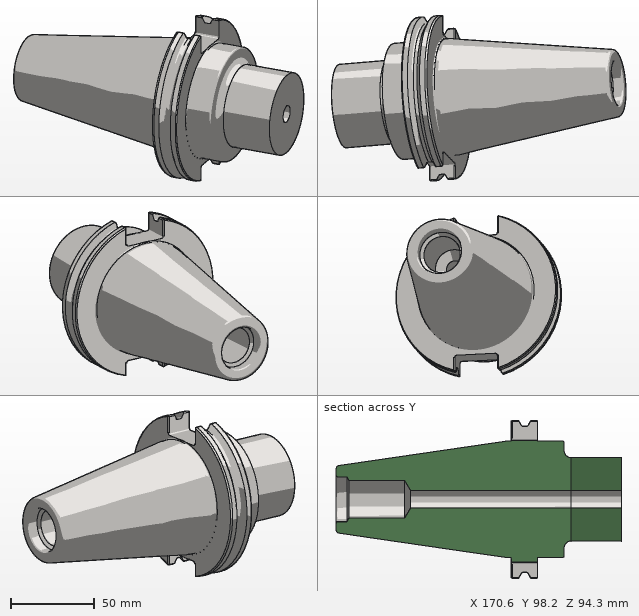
import cadquery as cq
import math

TOTAL_LENGTH = 170.6

TAPER_RATIO = 7 / 24
GAUGE_DIAMETER = 69.8
GAUGE_RADIUS = GAUGE_DIAMETER / 2
TAPER_LENGTH = 101.5
TAPER_END_ROUND = 1.7
TAPER_SMALL_RADIUS = GAUGE_RADIUS - TAPER_LENGTH * TAPER_RATIO / 2

FLANGE_START = 104.5
FLANGE_WIDTH = 15.9
FLANGE_RADIUS = 49.1
FRONT_CHAMFER_LENGTH = 1.2
REAR_CHAMFER_LENGTH = 0.7
FLANGE_CHAMFER_HEIGHT = 0.5
FLANGE_ROOT_ROUND = 0.7
GROOVE_START = 109.0
GROOVE_MOUTH = 7.5
GROOVE_DEPTH = 3.5
GROOVE_FLANK_ANGLE = 30.0
GROOVE_ROUND = 1.0
FLANGE_END = FLANGE_START + FLANGE_WIDTH

SLOT_WIDTH = 26.0
UPPER_SLOT_FLOOR = 35.3
LOWER_SLOT_FLOOR = 37.7
SLOT_CORNER_ROUND = 1.2
SLOT_EDGE_CHAMFER = 0.9

COLLAR_END = 136.5
COLLAR_ROUND = 1.0
NOSE_RADIUS = 25.0
NOSE_ROOT_ROUND = 4.0
NOSE_START = COLLAR_END + NOSE_ROOT_ROUND

MOUTH_RADIUS = 13.3
MOUTH_ROUND = 1.2
MOUTH_DEPTH = 6.5
THREAD_RADIUS = 11.1
THREAD_DEPTH = 41.0
THROUGH_RADIUS = 5.1
STEP_ANGLE = 30.0
DRILL_POINT_ANGLE = 31.0

OVERSHOOT = 1.7


def revolved(profile):
    """Closed profile in the XZ plane turned about the X axis."""
    return profile.close().revolve(360, (0, 0, 0), (1, 0, 0))


def holder_blank():
    """Outer shape of the holder, without bore, groove and slots."""
    radius_behind_round = TAPER_SMALL_RADIUS + TAPER_END_ROUND * TAPER_RATIO / 2
    diagonal = TAPER_END_ROUND * (1 - math.sqrt(0.5))
    profile = (
        cq.Workplane("XZ")
        .moveTo(0, 0)
        .lineTo(0, TAPER_SMALL_RADIUS - TAPER_END_ROUND)
        .threePointArc(
            (diagonal, TAPER_SMALL_RADIUS - diagonal),
            (TAPER_END_ROUND, radius_behind_round),
        )
        .lineTo(TAPER_LENGTH, GAUGE_RADIUS)
        .lineTo(FLANGE_START - FLANGE_ROOT_ROUND, GAUGE_RADIUS)
        .radiusArc((FLANGE_START, GAUGE_RADIUS + FLANGE_ROOT_ROUND), -FLANGE_ROOT_ROUND)
        .lineTo(FLANGE_START, FLANGE_RADIUS - FLANGE_CHAMFER_HEIGHT)
        .lineTo(FLANGE_START + FRONT_CHAMFER_LENGTH, FLANGE_RADIUS)
        .lineTo(FLANGE_END - REAR_CHAMFER_LENGTH, FLANGE_RADIUS)
        .lineTo(FLANGE_END, FLANGE_RADIUS - FLANGE_CHAMFER_HEIGHT)
        .lineTo(FLANGE_END, GAUGE_RADIUS + FLANGE_ROOT_ROUND)
        .radiusArc((FLANGE_END + FLANGE_ROOT_ROUND, GAUGE_RADIUS), -FLANGE_ROOT_ROUND)
        .lineTo(COLLAR_END - COLLAR_ROUND, GAUGE_RADIUS)
        .radiusArc((COLLAR_END, GAUGE_RADIUS - COLLAR_ROUND), COLLAR_ROUND)
        .lineTo(COLLAR_END, NOSE_RADIUS + NOSE_ROOT_ROUND)
        .radiusArc((NOSE_START, NOSE_RADIUS), -NOSE_ROOT_ROUND)
        .lineTo(NOSE_START, 0)
    )
    return revolved(profile)


def gripper_groove():
    """Ring tool for the V-groove in the flange rim, with rounded floor corners."""
    flank = math.tan(math.radians(GROOVE_FLANK_ANGLE))
    top = FLANGE_RADIUS + OVERSHOOT
    floor = FLANGE_RADIUS - GROOVE_DEPTH
    end = GROOVE_START + GROOVE_MOUTH
    ring = revolved(
        cq.Workplane("XZ")
        .moveTo(GROOVE_START - OVERSHOOT * flank, top)
        .lineTo(GROOVE_START + GROOVE_DEPTH * flank, floor)
        .lineTo(end - GROOVE_DEPTH * flank, floor)
        .lineTo(end + OVERSHOOT * flank, top)
    )
    inner_edges = ring.edges(cq.selectors.RadiusNthSelector(0))
    return inner_edges.fillet(GROOVE_ROUND)


def slot_rim_chamfers():
    """Flared prism that bevels the slot walls where they meet the rim of the flange."""
    half_width = SLOT_WIDTH / 2
    rim_height = math.sqrt(FLANGE_RADIUS**2 - half_width**2)
    start = rim_height - SLOT_EDGE_CHAMFER
    end = FLANGE_RADIUS + OVERSHOOT
    flared = half_width + end - start
    return (
        cq.Workplane("YZ", origin=(FLANGE_START, 0, 0))
        .polyline([(-half_width, start), (half_width, start), (flared, end), (-flared, end)])
        .close()
        .extrude(FLANGE_WIDTH)
    )


def slot_face_chamfer(floor):
    """Flared prism that bevels the slot walls where they meet the taper-side face of the flange."""
    half_width = SLOT_WIDTH / 2
    flared = half_width + SLOT_EDGE_CHAMFER
    bottom = floor + SLOT_CORNER_ROUND
    inner = FLANGE_START + SLOT_EDGE_CHAMFER
    return (
        cq.Workplane("XY", origin=(0, 0, bottom))
        .polyline(
            [(FLANGE_START, -flared), (FLANGE_START, flared), (inner, half_width), (inner, -half_width)]
        )
        .close()
        .extrude(FLANGE_RADIUS + OVERSHOOT - bottom)
    )


def drive_slot(floor, turn):
    """Tool for one drive slot, turned about the axis to its side of the flange."""
    height = FLANGE_RADIUS + OVERSHOOT - floor
    tool = (
        cq.Workplane("XY")
        .box(FLANGE_WIDTH, SLOT_WIDTH, height, centered=(False, True, False))
        .edges("|X and <Z")
        .fillet(SLOT_CORNER_ROUND)
        .translate((FLANGE_START, 0, floor))
        .union(slot_rim_chamfers())
        .union(slot_face_chamfer(floor))
    )
    return tool.rotate((0, 0, 0), (1, 0, 0), turn)


def holder_bore():
    """Tool for the stepped bore: rounded mouth, thread core, drill point and through hole."""
    step = math.tan(math.radians(STEP_ANGLE))
    point = math.tan(math.radians(DRILL_POINT_ANGLE))
    step_end = MOUTH_DEPTH + (MOUTH_RADIUS - THREAD_RADIUS) * step
    point_end = THREAD_DEPTH + (THREAD_RADIUS - THROUGH_RADIUS) * point
    return revolved(
        cq.Workplane("XZ")
        .moveTo(0, 0)
        .lineTo(0, MOUTH_RADIUS + MOUTH_ROUND)
        .radiusArc((MOUTH_ROUND, MOUTH_RADIUS), -MOUTH_ROUND)
        .lineTo(MOUTH_DEPTH, MOUTH_RADIUS)
        .lineTo(step_end, THREAD_RADIUS)
        .lineTo(THREAD_DEPTH, THREAD_RADIUS)
        .lineTo(point_end, THROUGH_RADIUS)
        .lineTo(NOSE_START, THROUGH_RADIUS)
        .lineTo(NOSE_START, 0)
    )


def make_holder():
    """Taper shank, flange and collar in one piece, bored from the taper end."""
    holder = holder_blank().cut(gripper_groove())
    for floor, turn in ((UPPER_SLOT_FLOOR, 0), (LOWER_SLOT_FLOOR, 180)):
        holder = holder.cut(drive_slot(floor, turn))
    return holder.cut(holder_bore())


def make_nose():
    """Cylindrical nose that butts against the collar, with the bore running on through it."""
    return (
        cq.Workplane("YZ", origin=(NOSE_START, 0, 0))
        .circle(NOSE_RADIUS)
        .circle(THROUGH_RADIUS)
        .extrude(TOTAL_LENGTH - NOSE_START)
    )


holder = make_holder()
nose = make_nose()
result = cq.Compound.makeCompound([holder.val(), nose.val()])